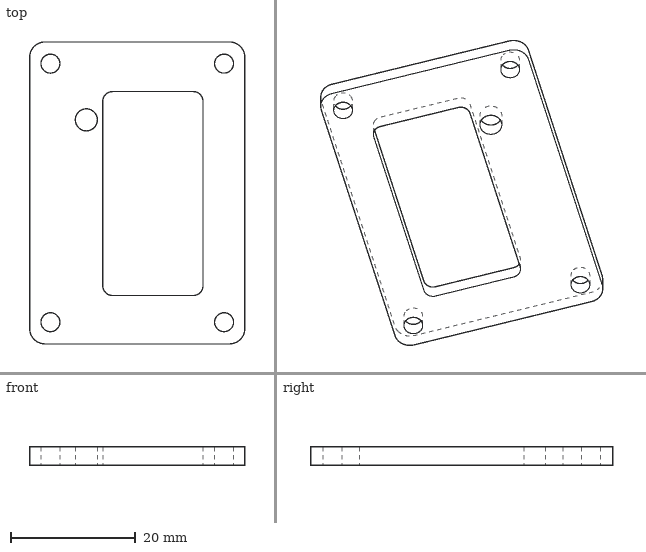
import cadquery as cq

plate_width = 34.5
plate_length = 48.4
plate_thickness = 3.0
plate_corner_radius = 2.5

mount_hole_diameter = 3.0
mount_spacing_x = 27.8
mount_spacing_y = 41.4

window_width = 16.0
window_length = 32.6
window_corner_radius = 1.5
window_center = (2.5, -0.1)

side_hole_diameter = 3.5
side_hole_center = (-8.15, 11.7)


def make_plate():
    """Rounded plate centred on the origin in X and Y, with its bottom at Z = 0."""
    plate = cq.Workplane("XY").box(
        plate_width, plate_length, plate_thickness, centered=(True, True, False)
    )
    return plate.edges("|Z").fillet(plate_corner_radius)


def cut_mounting_holes(body):
    top = body.faces(">Z").workplane(origin=(0, 0, plate_thickness))
    corners = top.rect(mount_spacing_x, mount_spacing_y, forConstruction=True).vertices()
    return corners.hole(mount_hole_diameter)


def cut_window(body):
    window = cq.Workplane("XY").center(*window_center).rect(window_width, window_length)
    window = window.extrude(plate_thickness)
    window = window.edges("|Z").fillet(window_corner_radius)
    return body.cut(window)


def cut_side_hole(body):
    drill = cq.Workplane("XY").center(*side_hole_center).circle(side_hole_diameter / 2)
    return body.cut(drill.extrude(plate_thickness))


result = make_plate()
result = cut_mounting_holes(result)
result = cut_window(result)
result = cut_side_hole(result)